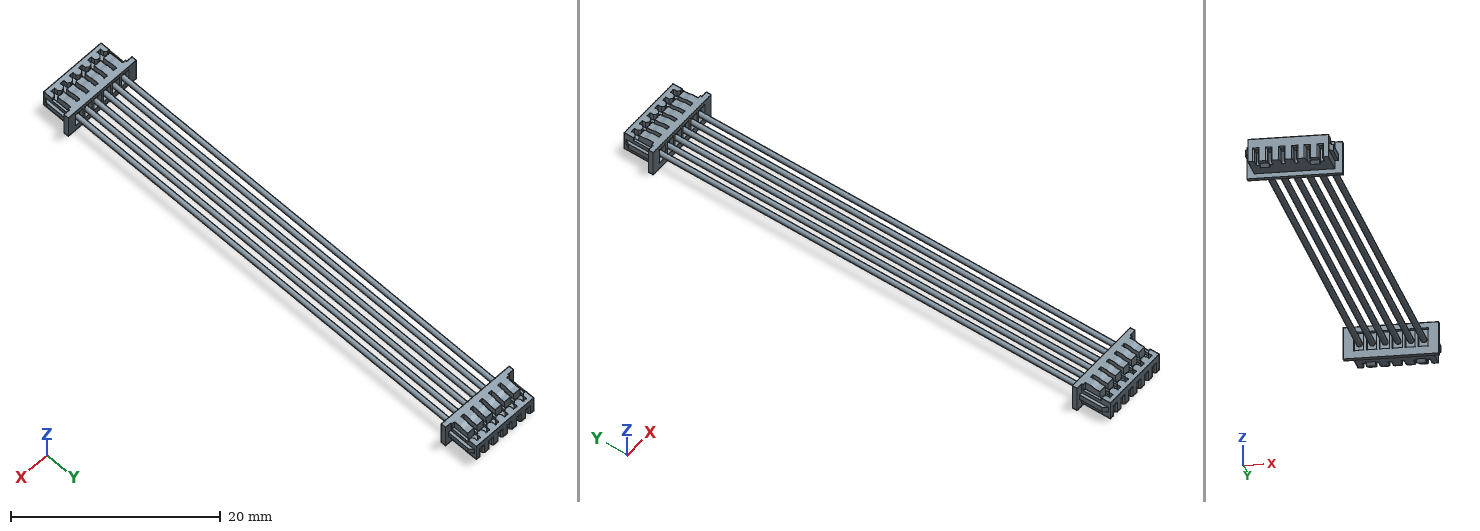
import cadquery as cq

overall_length = 57.9
wire_count = 6
wire_row_width = 6.25
wire_pitch = wire_row_width / (wire_count - 1)
wire_diameter = 0.6

housing_length = 4.0
body_width = 7.8
body_height = 2.25
flange_width = 9.25
flange_height = 3.2
flange_thickness = 0.6
flange_face = housing_length - flange_thickness

deck_z = 0.75
plate_depth = 1.1
finger_gap = 0.375
finger_width = wire_pitch - finger_gap
finger_start = 1.5
finger_foot_start = 1.45
finger_ramp_start = 2.1
finger_ramp_end = 2.55
finger_low_z = 1.45
web_thickness = 0.2

cell_wall = 0.25
cell_width = wire_pitch - cell_wall
cell_floor_z = 0.35
notch_start = 0.45
notch_flare_start = 0.85
notch_narrow = 0.45

slot_mouth_width = 0.65
slot_mouth_top = 0.25
slot_mouth_depth = 0.2
slot_width = 0.35
slot_top = 0.1
slot_depth = 1.15

rail_height = 0.65
rail_projection = 0.35
rail_start = 0.25
rail_full = 0.75

bump_offset = 2.45
bump_width = 0.9
bump_start = 0.7
bump_peak = 1.1
bump_end = 1.5
bump_height = 0.3

pocket_width = 1.0
pocket_bottom = -0.8
pocket_top = 1.05
pocket_depth = 0.45

wire_places = [i * wire_pitch - wire_row_width / 2 for i in range(wire_count)]


def block(x_center, width, y_start, y_end, z_bottom, z_top):
    """Box centred on x_center between the given depths and heights."""
    size = (width, y_end - y_start, z_top - z_bottom)
    solid = cq.Workplane("XY").box(*size, centered=(True, False, False))
    return solid.translate((x_center, y_start, z_bottom))


def side_profile(points, x_center, width):
    """Outline in the YZ plane, extruded to a width centred on x_center."""
    solid = cq.Workplane("YZ").polyline(points).close().extrude(width / 2, both=True)
    return solid.translate((x_center, 0, 0))


def finger(x):
    """Finger standing in its cell: leaning front, low step, then a ramp up to the flange top."""
    top = flange_height / 2
    outline = [
        (finger_foot_start, cell_floor_z),
        (finger_start, finger_low_z),
        (finger_ramp_start, finger_low_z),
        (finger_ramp_end, top),
        (flange_face, top),
        (flange_face, cell_floor_z),
    ]
    return side_profile(outline, x, finger_width)


def cell(x):
    """Cutter for an open cell that narrows through a flare into the front plate."""
    narrow = notch_narrow / 2
    cell_end = flange_face - web_thickness
    wide = cell_width / 2
    outline = [
        (x - narrow, notch_start),
        (x + narrow, notch_start),
        (x + narrow, notch_flare_start),
        (x + wide, plate_depth),
        (x + wide, cell_end),
        (x - wide, cell_end),
        (x - wide, plate_depth),
        (x - narrow, notch_flare_start),
    ]
    cut = cq.Workplane("XY").polyline(outline).close().extrude(body_height / 2 - cell_floor_z)
    return cut.translate((0, 0, cell_floor_z))


def contact_slot(x):
    """Cutter for a slot with a chamfered mouth."""
    bottom = -body_height / 2
    mouth_height = slot_mouth_top - bottom
    inner_height = slot_top - bottom
    mouth = (
        cq.Workplane("XZ", origin=(x, 0, bottom))
        .center(0, mouth_height / 2)
        .rect(slot_mouth_width, mouth_height)
        .workplane(offset=-slot_mouth_depth)
        .center(0, (inner_height - mouth_height) / 2)
        .rect(slot_width, inner_height)
        .loft()
    )
    return mouth.union(block(x, slot_width, 0, slot_depth, bottom, slot_top))


def side_rails():
    """Rails on both body sides, tapered at the mating end."""
    inner = body_width / 2
    outer = inner + rail_projection
    outline = [
        (-inner, rail_start),
        (-outer, rail_full),
        (-outer, flange_face),
        (outer, flange_face),
        (outer, rail_full),
        (inner, rail_start),
    ]
    return cq.Workplane("XY").polyline(outline).close().extrude(rail_height / 2, both=True)


def latch_bump(x):
    """Triangular ridge under the body."""
    bottom = -body_height / 2
    ridge = bottom - bump_height
    return side_profile([(bump_start, bottom), (bump_peak, ridge), (bump_end, bottom)], x, bump_width)


def connector():
    """Housing with its mating face at y = 0 and its flange towards +Y."""
    half_body = body_height / 2
    half_flange = flange_height / 2
    web_start = flange_face - web_thickness
    pocket_start = housing_length - pocket_depth

    lower_body = block(0, body_width, 0, flange_face, -half_body, deck_z)
    front_plate = block(0, body_width, 0, plate_depth, deck_z, half_body)
    web = block(0, body_width, web_start, flange_face, deck_z, half_flange)
    flange = block(0, flange_width, flange_face, housing_length, -half_flange, half_flange)
    housing = lower_body.union(front_plate).union(web).union(flange).union(side_rails())

    for x in wire_places:
        housing = housing.cut(cell(x)).union(finger(x)).cut(contact_slot(x))
        housing = housing.cut(block(x, pocket_width, pocket_start, housing_length, pocket_bottom, pocket_top))
    for x in (-bump_offset, bump_offset):
        housing = housing.union(latch_bump(x))
    return housing


def wire(x):
    """Wire running between the pocket floors of both connectors."""
    half_run = overall_length / 2 - housing_length + pocket_depth
    start = cq.Workplane("XZ", origin=(x, half_run, 0))
    return start.circle(wire_diameter / 2).extrude(2 * half_run)


front_connector = connector().translate((0, -overall_length / 2, 0))
result = front_connector.union(front_connector.mirror("XZ"))
for x in wire_places:
    result = result.union(wire(x))